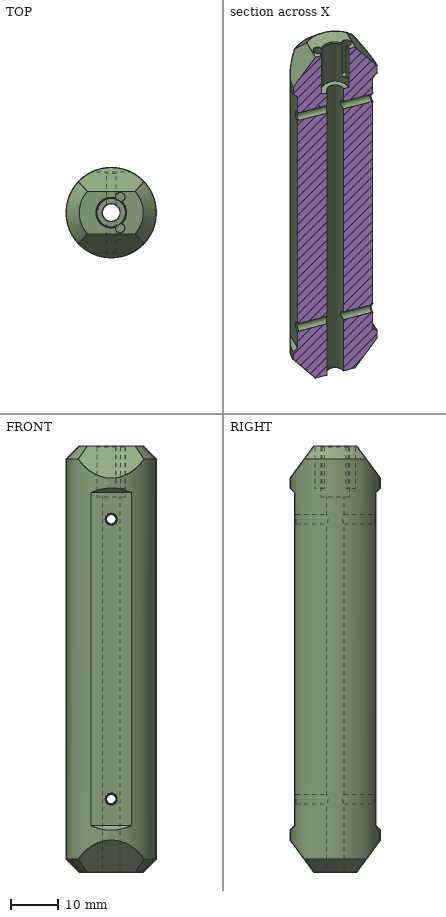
import cadquery as cq
import math

LENGTH = 90.0
BODY_DIAMETER = 19.1
BODY_RADIUS = BODY_DIAMETER / 2
HALF_LENGTH = LENGTH / 2
END_CHAMFER = 2.8

END_HALF_WIDTH = 4.5
SLOPE_HEIGHT = 6.8

FLAT_OFFSET = 8.55
FLAT_LENGTH = 70.2
RAMP_DEPTH = BODY_RADIUS - FLAT_OFFSET

CROSS_HOLE_DIAMETER = 2.0
CROSS_HOLE_RIM_DIAMETER = 2.5
CROSS_HOLE_SPACING = 59.0

BORE_DIAMETER = 3.7
SOCKET_DIAMETER = 6.0
SOCKET_RIM_DIAMETER = 6.5
SOCKET_DEPTH = 10.8

GROOVE_DIAMETER = 2.0
GROOVE_CIRCLE_RADIUS = 3.8
GROOVE_ANGLE = 60.0
GROOVE_DEPTH = 9.0


def end_slope(y_side, z_side):
    """Cutter for one sloped flat, carried past the bar on both sides along the same slope."""
    run = BODY_RADIUS - END_HALF_WIDTH
    inner = (y_side * (END_HALF_WIDTH - run), z_side * (HALF_LENGTH + SLOPE_HEIGHT))
    outer = (y_side * (BODY_RADIUS + run), z_side * (HALF_LENGTH - 2 * SLOPE_HEIGHT))
    corner = (outer[0], inner[1])
    return cq.Workplane("YZ").polyline([inner, outer, corner]).close().extrude(BODY_DIAMETER, both=True)


def make_body():
    """Round bar with chamfered ends, each cut to a wedge by two sloped flats."""
    bar = cq.Workplane("XY").workplane(offset=-HALF_LENGTH).circle(BODY_RADIUS).extrude(LENGTH)
    bar = bar.faces("<Z or >Z").chamfer(END_CHAMFER)
    for y_side in (-1, 1):
        for z_side in (-1, 1):
            bar = bar.cut(end_slope(y_side, z_side))
    return bar


def long_flat(side):
    """Cutter for one long flat; side is -1 or +1 along Y, and the ends ramp at 45 degrees."""
    floor_end = FLAT_LENGTH / 2
    cut_depth = 2 * RAMP_DEPTH
    mouth = side * (FLAT_OFFSET + cut_depth)
    mouth_end = floor_end + cut_depth
    profile = [
        (side * FLAT_OFFSET, -floor_end),
        (side * FLAT_OFFSET, floor_end),
        (mouth, mouth_end),
        (mouth, -mouth_end),
    ]
    return cq.Workplane("YZ").polyline(profile).close().extrude(BODY_RADIUS, both=True)


def cross_hole(z):
    """Cutter for a hole along Y with a 45 degree rim at each long flat."""
    hole_radius = CROSS_HOLE_DIAMETER / 2
    rim_radius = CROSS_HOLE_RIM_DIAMETER / 2
    rim_start = FLAT_OFFSET - (rim_radius - hole_radius)
    half_profile = [
        (0, -FLAT_OFFSET),
        (rim_radius, -FLAT_OFFSET),
        (hole_radius, -rim_start),
        (hole_radius, rim_start),
        (rim_radius, FLAT_OFFSET),
        (0, FLAT_OFFSET),
    ]
    cutter = cq.Workplane("XY").polyline(half_profile).close().revolve(360, (0, 0, 0), (0, 1, 0))
    return cutter.translate((0, 0, z))


def socket():
    """Cutter for the top socket, its 45 degree rim and the bore through the whole bar."""
    bore_radius = BORE_DIAMETER / 2
    socket_radius = SOCKET_DIAMETER / 2
    rim_radius = SOCKET_RIM_DIAMETER / 2
    socket_floor = HALF_LENGTH - SOCKET_DEPTH
    half_profile = [
        (0, -HALF_LENGTH),
        (bore_radius, -HALF_LENGTH),
        (bore_radius, socket_floor),
        (socket_radius, socket_floor),
        (socket_radius, HALF_LENGTH - (rim_radius - socket_radius)),
        (rim_radius, HALF_LENGTH),
        (0, HALF_LENGTH),
    ]
    return cq.Workplane("XZ").polyline(half_profile).close().revolve(360, (0, 0, 0), (0, 1, 0))


def key_groove(angle):
    """Cutter for a round groove beside the socket at the given angle from +X."""
    x = GROOVE_CIRCLE_RADIUS * math.cos(math.radians(angle))
    y = GROOVE_CIRCLE_RADIUS * math.sin(math.radians(angle))
    top = cq.Workplane("XY").workplane(offset=HALF_LENGTH)
    return top.center(x, y).circle(GROOVE_DIAMETER / 2).extrude(-GROOVE_DEPTH)


result = make_body()
for side in (-1, 1):
    result = result.cut(long_flat(side))
    result = result.cut(cross_hole(side * CROSS_HOLE_SPACING / 2))
result = result.cut(socket())
for side in (-1, 1):
    result = result.cut(key_groove(side * GROOVE_ANGLE))